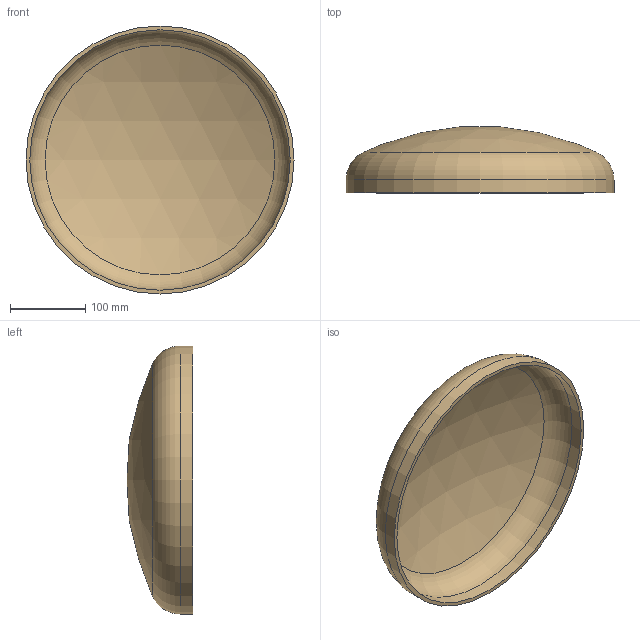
import cadquery as cq
import math

outer_diameter = 355.6
wall = 5.0
flange_length = 17.0
crown_inner_radius = outer_diameter
knuckle_inner_radius = 0.1 * outer_diameter

crown_outer_radius = crown_inner_radius + wall
knuckle_outer_radius = knuckle_inner_radius + wall
outer_radius = outer_diameter / 2
inner_radius = outer_radius - wall

knuckle_center_radius = outer_radius - knuckle_outer_radius
center_distance = crown_inner_radius - knuckle_inner_radius
tangent_angle = math.asin(knuckle_center_radius / center_distance)

knuckle_center_y = flange_length
crown_center_y = knuckle_center_y - center_distance * math.cos(tangent_angle)


def knuckle_point(radius, angle):
    """Point (distance from axis, y) on a knuckle arc, at an angle from the +Y direction."""
    return (
        knuckle_center_radius + radius * math.sin(angle),
        knuckle_center_y + radius * math.cos(angle),
    )


def flange_and_knuckle():
    """Ring from the open rim to the conical joint with the crown, revolved about Y."""
    middle_angle = (tangent_angle + math.pi / 2) / 2
    return (
        cq.Workplane("XY")
        .moveTo(inner_radius, 0)
        .lineTo(outer_radius, 0)
        .lineTo(outer_radius, knuckle_center_y)
        .threePointArc(
            knuckle_point(knuckle_outer_radius, middle_angle),
            knuckle_point(knuckle_outer_radius, tangent_angle),
        )
        .lineTo(*knuckle_point(knuckle_inner_radius, tangent_angle))
        .threePointArc(
            knuckle_point(knuckle_inner_radius, middle_angle),
            (inner_radius, knuckle_center_y),
        )
        .close()
        .revolve(360, (0, 0, 0), (0, 1, 0))
    )


def crown():
    """Spherical shell limited by the cone that runs from the crown centre through the joint."""
    cone_height = 2 * crown_outer_radius
    cone = (
        cq.Workplane("XY")
        .lineTo(cone_height * math.tan(tangent_angle), cone_height)
        .lineTo(0, cone_height)
        .close()
        .revolve(360, (0, 0, 0), (0, 1, 0))
    )
    shell = cq.Workplane("XY").sphere(crown_outer_radius).cut(cq.Workplane("XY").sphere(crown_inner_radius))
    return shell.intersect(cone).translate((0, crown_center_y, 0))


result = flange_and_knuckle().union(crown())